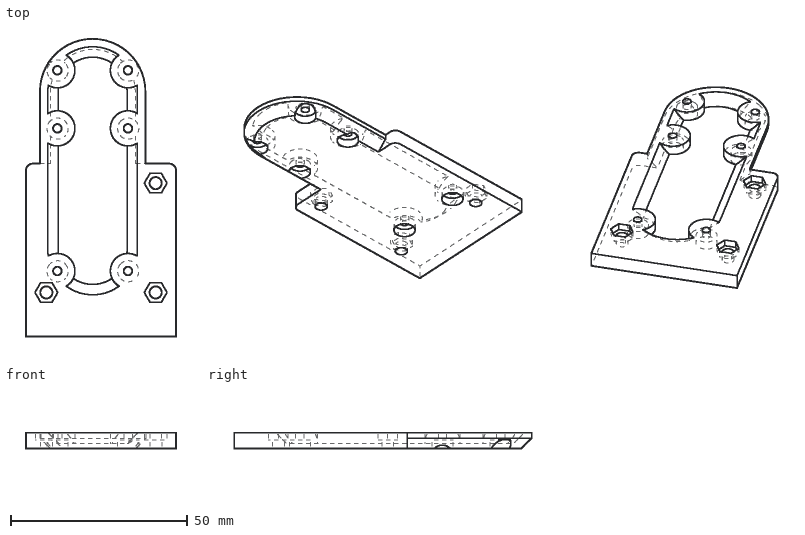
import cadquery as cq
import math

plate_width = 42.7
total_length = 84.5
thickness = 4.5
plate_length = 49.1
corner_radius = 2.0

tray_x = -2.4
tray_width = 30.0
tray_end_spacing = 44.95
rim_width = 2.3
bevel_height = 2.95
bevel_angle = 45
tray_end_y = total_length - tray_width / 2
tray_center_y = tray_end_y - tray_end_spacing / 2
pocket_width = tray_width - 2 * rim_width

boss_diameter = 10.0
boss_spacing_x = 20.0
boss_rows_y = (18.6, 59.1, 75.55)
screw_diameter = 2.4
counterbore_diameter = 6.0
counterbore_depth = 2.5

nut_spacing = 31.0
nut_first_y = 12.5
nut_flats = 5.6
nut_depth = 2.0
bolt_diameter = 3.4

boss_points = [
    (tray_x + side * boss_spacing_x / 2, y)
    for side in (-1, 1)
    for y in boss_rows_y
]
nut_points = [
    (-nut_spacing / 2, nut_first_y),
    (nut_spacing / 2, nut_first_y),
    (nut_spacing / 2, nut_first_y + nut_spacing),
]


def tray_outline(width, z):
    """Round-ended outline whose end arcs keep the same centres at any width."""
    return (
        cq.Workplane("XY", origin=(tray_x, tray_center_y, z))
        .slot2D(tray_end_spacing + width, width, 90)
    )


def cylinders(points, diameter, height):
    """Upright cylinders standing on the underside plane."""
    return cq.Workplane("XY").pushPoints(points).circle(diameter / 2).extrude(height)


def make_plate():
    return (
        cq.Workplane("XY")
        .box(plate_width, plate_length, thickness, centered=(True, False, False))
        .edges("|Z and >Y")
        .fillet(corner_radius)
    )


def make_tray():
    rim = tray_outline(tray_width, bevel_height).extrude(thickness - bevel_height)
    bevel = tray_outline(tray_width, bevel_height).extrude(-bevel_height, taper=bevel_angle)
    return rim.union(bevel)


def make_pocket():
    """Bevelled tray cavity with the bosses left standing."""
    cavity = tray_outline(pocket_width, thickness).extrude(-bevel_height, taper=bevel_angle)
    return cavity.cut(cylinders(boss_points, boss_diameter, thickness))


def make_nut_pockets():
    nut_corners = nut_flats / math.cos(math.pi / 6)
    return (
        cq.Workplane("XY", origin=(0, 0, thickness))
        .pushPoints(nut_points)
        .polygon(6, nut_corners)
        .extrude(-nut_depth)
    )


result = (
    make_plate()
    .union(make_tray())
    .cut(make_pocket())
    .cut(cylinders(boss_points, screw_diameter, thickness))
    .cut(cylinders(boss_points, counterbore_diameter, counterbore_depth))
    .cut(make_nut_pockets())
    .cut(cylinders(nut_points, bolt_diameter, thickness))
)